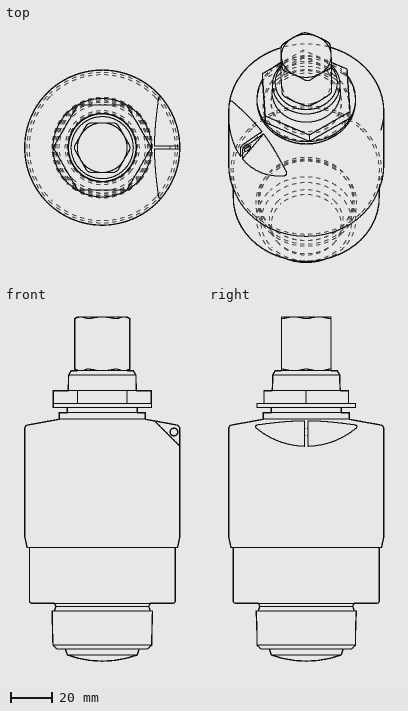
import cadquery as cq
import math

TOTAL_HEIGHT = 166.23
DOME_HEIGHT = 3.0
CAP_BOTTOM_Z = 5.9
CAP_TOP_Z = 24.4
GROOVE_Z = 26.5
BASE_BOTTOM_Z = 28.0
SKIRT_BOTTOM_Z = 54.9
SKIRT_TOP_Z = 60.0
SHOULDER_TOP_Z = 116.9
FLANGE_TOP_Z = 120.1
WASHER_BOTTOM_Z = 122.5
NUT_BOTTOM_Z = 124.5
NUT_TOP_Z = 130.7
COLLAR_TOP_Z = 140.3

BODY_RADIUS = 37.5
SKIRT_END_RADIUS = 36.4
BASE_RADIUS = 35.3
BASE_EDGE_FILLET = 1.2
FLANGE_RADIUS = 20.8
NECK_RADIUS = 17.0
WASHER_RADIUS = 23.8
SHOULDER_SLOPE = math.radians(10.3)
SHOULDER_FILLET = 2.0

CAP_TOP_RADIUS = 24.3
CAP_LOW_RADIUS = 23.9
CAP_CHAMFER = 2.0
GROOVE_EDGE_RADIUS = 23.2
GROOVE_RADIUS = 22.5
PLUG_TOP_RADIUS = 17.9
DOME_RADIUS = 16.9

FLATS_TO_CORNERS = 2 / math.sqrt(3)
NUT_ACROSS_FLATS = 41.0
COLLAR_BOTTOM_RADIUS = 16.5
COLLAR_TOP_RADIUS = 16.3
COLLAR_CHAMFER_WIDTH = 1.3
COLLAR_CHAMFER_HEIGHT = 2.0
SHAFT_ACROSS_FLATS = 24.0
SHAFT_CORNER_FILLET = 3.2
SHAFT_CHAMFER_ANGLE = math.radians(30)

LUG_THICKNESS = 1.5
CUT_START_X = 25.2
CUT_OVERRUN = 1.0
LUG_HOLE_DIAMETER = 3.6
LUG_HOLE_X = 34.6
LUG_HOLE_Z = 110.7


def revolve_profile(profile):
    """Revolve an XZ half-profile a full turn about the Z axis."""
    return profile.close().revolve(360, (0, 0, 0), (0, 1, 0))


def hex_prism(across_flats, bottom_z, top_z):
    """Hexagonal prism with two flats facing -Y and +Y."""
    across_corners = across_flats * FLATS_TO_CORNERS
    return (
        cq.Workplane("XY")
        .workplane(offset=bottom_z)
        .polygon(6, across_corners)
        .extrude(top_z - bottom_z)
    )


def shoulder_z(radius):
    """Height of the conical shoulder at a given radius."""
    return SHOULDER_TOP_Z - (radius - FLANGE_RADIUS) * math.tan(SHOULDER_SLOPE)


def make_cap():
    """Domed plug, tapered cap and the shallow V groove above it."""
    dome_sphere_radius = (DOME_RADIUS**2 + DOME_HEIGHT**2) / (2 * DOME_HEIGHT)
    mid_x = DOME_RADIUS / 2
    mid_z = dome_sphere_radius - math.sqrt(dome_sphere_radius**2 - mid_x**2)
    return revolve_profile(
        cq.Workplane("XZ")
        .moveTo(0, 0)
        .threePointArc((mid_x, mid_z), (DOME_RADIUS, DOME_HEIGHT))
        .lineTo(PLUG_TOP_RADIUS, CAP_BOTTOM_Z)
        .lineTo(CAP_LOW_RADIUS - CAP_CHAMFER, CAP_BOTTOM_Z)
        .lineTo(CAP_LOW_RADIUS, CAP_BOTTOM_Z + CAP_CHAMFER)
        .lineTo(CAP_TOP_RADIUS, CAP_TOP_Z)
        .lineTo(GROOVE_EDGE_RADIUS, CAP_TOP_Z)
        .lineTo(GROOVE_RADIUS, GROOVE_Z)
        .lineTo(GROOVE_EDGE_RADIUS, BASE_BOTTOM_Z)
        .lineTo(0, BASE_BOTTOM_Z)
    )


def make_housing():
    """Stepped main cylinder with a rounded base and a conical shoulder."""
    base = (
        cq.Workplane("XY")
        .workplane(offset=BASE_BOTTOM_Z)
        .circle(BASE_RADIUS)
        .extrude(SKIRT_BOTTOM_Z - BASE_BOTTOM_Z)
        .faces("<Z")
        .edges()
        .fillet(BASE_EDGE_FILLET)
    )
    arc_center_x = BODY_RADIUS - SHOULDER_FILLET
    arc_start_x = arc_center_x + SHOULDER_FILLET * math.sin(SHOULDER_SLOPE)
    arc_start_z = shoulder_z(arc_start_x)
    arc_center_z = arc_start_z - SHOULDER_FILLET * math.cos(SHOULDER_SLOPE)
    arc_mid_angle = (math.pi / 2 - SHOULDER_SLOPE) / 2
    arc_mid_x = arc_center_x + SHOULDER_FILLET * math.cos(arc_mid_angle)
    arc_mid_z = arc_center_z + SHOULDER_FILLET * math.sin(arc_mid_angle)
    upper = revolve_profile(
        cq.Workplane("XZ")
        .moveTo(0, SKIRT_BOTTOM_Z)
        .lineTo(SKIRT_END_RADIUS, SKIRT_BOTTOM_Z)
        .lineTo(BODY_RADIUS, SKIRT_TOP_Z)
        .lineTo(BODY_RADIUS, arc_center_z)
        .threePointArc((arc_mid_x, arc_mid_z), (arc_start_x, arc_start_z))
        .lineTo(FLANGE_RADIUS, SHOULDER_TOP_Z)
        .lineTo(0, SHOULDER_TOP_Z)
    )
    return base.union(upper)


def make_lug_cut():
    """45 degree wedge off the +X shoulder, sparing a thin central web with a hole."""
    cut_top_z = FLANGE_TOP_Z
    cut_edge_x = BODY_RADIUS + CUT_OVERRUN
    start_z = shoulder_z(CUT_START_X)
    wedge = (
        cq.Workplane("XZ")
        .moveTo(CUT_START_X - (cut_top_z - start_z), cut_top_z)
        .lineTo(cut_edge_x, cut_top_z)
        .lineTo(cut_edge_x, start_z - (cut_edge_x - CUT_START_X))
        .close()
        .extrude(BODY_RADIUS, both=True)
    )
    web = cq.Workplane("XY").box(4 * BODY_RADIUS, LUG_THICKNESS, 2 * TOTAL_HEIGHT)
    hole = (
        cq.Workplane("XZ")
        .center(LUG_HOLE_X, LUG_HOLE_Z)
        .circle(LUG_HOLE_DIAMETER / 2)
        .extrude(LUG_THICKNESS, both=True)
    )
    return wedge.cut(web).union(hole)


def make_fastener():
    """Flange, neck, washer and collar turned about the axis, plus the hex nut."""
    turned = revolve_profile(
        cq.Workplane("XZ")
        .moveTo(0, SHOULDER_TOP_Z)
        .lineTo(FLANGE_RADIUS, SHOULDER_TOP_Z)
        .lineTo(FLANGE_RADIUS, FLANGE_TOP_Z)
        .lineTo(NECK_RADIUS, FLANGE_TOP_Z)
        .lineTo(NECK_RADIUS, WASHER_BOTTOM_Z)
        .lineTo(WASHER_RADIUS, WASHER_BOTTOM_Z)
        .lineTo(WASHER_RADIUS, NUT_BOTTOM_Z)
        .lineTo(COLLAR_BOTTOM_RADIUS, NUT_BOTTOM_Z)
        .lineTo(COLLAR_BOTTOM_RADIUS, NUT_TOP_Z)
        .lineTo(COLLAR_TOP_RADIUS, COLLAR_TOP_Z - COLLAR_CHAMFER_HEIGHT)
        .lineTo(COLLAR_TOP_RADIUS - COLLAR_CHAMFER_WIDTH, COLLAR_TOP_Z)
        .lineTo(0, COLLAR_TOP_Z)
    )
    return turned.union(hex_prism(NUT_ACROSS_FLATS, NUT_BOTTOM_Z, NUT_TOP_Z))


def make_shaft():
    """Hexagonal shaft with rounded corners and a conical chamfer at both ends."""
    flat_radius = SHAFT_ACROSS_FLATS / 2
    outer_radius = flat_radius * FLATS_TO_CORNERS
    chamfer_height = (outer_radius - flat_radius) * math.tan(SHAFT_CHAMFER_ANGLE)
    prism = (
        hex_prism(SHAFT_ACROSS_FLATS, COLLAR_TOP_Z, TOTAL_HEIGHT)
        .edges("|Z")
        .fillet(SHAFT_CORNER_FILLET)
    )
    envelope = revolve_profile(
        cq.Workplane("XZ")
        .moveTo(0, COLLAR_TOP_Z)
        .lineTo(flat_radius, COLLAR_TOP_Z)
        .lineTo(outer_radius, COLLAR_TOP_Z + chamfer_height)
        .lineTo(outer_radius, TOTAL_HEIGHT - chamfer_height)
        .lineTo(flat_radius, TOTAL_HEIGHT)
        .lineTo(0, TOTAL_HEIGHT)
    )
    return prism.intersect(envelope)


housing = make_housing().cut(make_lug_cut())
result = housing.union(make_cap()).union(make_fastener()).union(make_shaft())